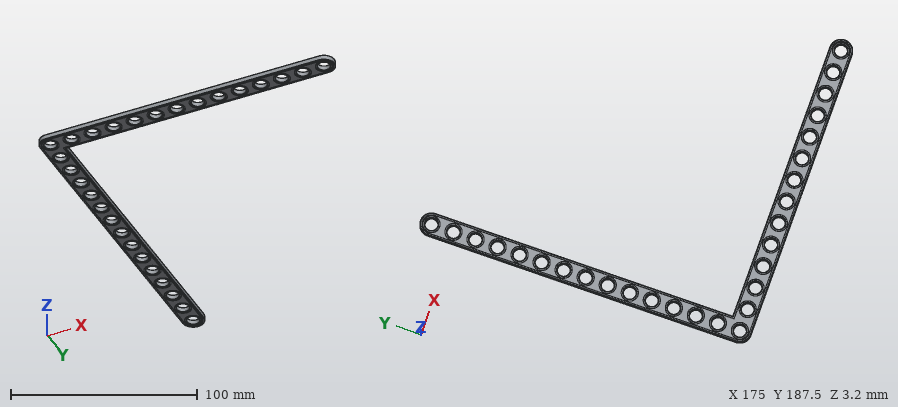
import cadquery as cq

overall_length = 187.5
holes_along_y = 15
holes_along_x = 14
thickness = 3.2
hole_diameter = 7.0
ring_diameter = 9.2
rim_width = 1.1
recess_depth = 0.2
edge_chamfer = 0.34

pitch = overall_length / holes_along_y
leg_width = pitch

hole_centers = [(i * pitch, 0) for i in range(holes_along_x)]
hole_centers += [(0, i * pitch) for i in range(1, holes_along_y)]


def round_ended_leg(hole_count, width, height):
    """Leg along X with round ends centred on its first and last holes."""
    span = (hole_count - 1) * pitch
    return (
        cq.Workplane("XY")
        .center(span / 2, 0)
        .slot2D(span + width, width)
        .extrude(height)
    )


def angle_plate(width, height):
    """L-shaped plate made of one leg along X and one along Y."""
    leg_x = round_ended_leg(holes_along_x, width, height)
    leg_y = round_ended_leg(holes_along_y, width, height)
    leg_y = leg_y.rotate((0, 0, 0), (0, 0, 1), 90)
    return leg_x.union(leg_y).clean()


def recess_cutter():
    """Shallow field inside the rim, leaving a ring around every hole."""
    field = angle_plate(leg_width - 2 * rim_width, recess_depth)
    rings = (
        cq.Workplane("XY")
        .pushPoints(hole_centers)
        .circle(ring_diameter / 2)
        .extrude(recess_depth)
    )
    return field.cut(rings)


body = (
    angle_plate(leg_width, thickness)
    .faces(">Z")
    .workplane(origin=(0, 0, thickness))
    .pushPoints(hole_centers)
    .hole(hole_diameter)
    .faces("<Z or >Z")
    .edges()
    .chamfer(edge_chamfer)
)

bottom_recess = recess_cutter()
top_recess = bottom_recess.translate((0, 0, thickness - recess_depth))
result = body.cut(bottom_recess).cut(top_recess)